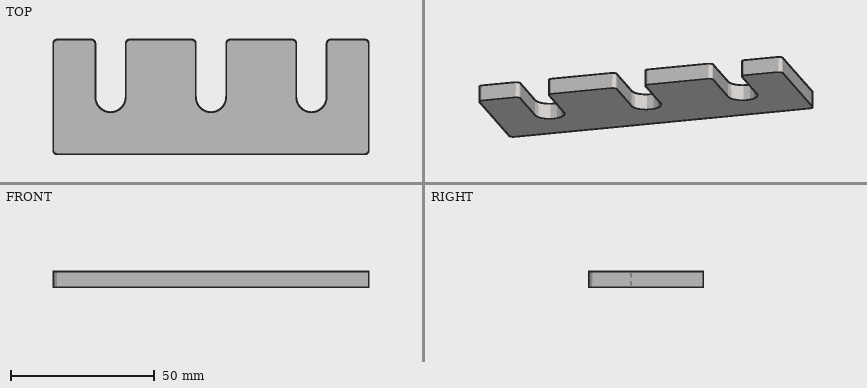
import cadquery as cq

length = 110.0
width = 40.0
thickness = 5.6
corner_radius = 1.5

slot_count = 3
slot_pitch = 35.0
slot_width = 10.5
slot_depth = 25.3


def slot_cutter(center_x):
    """Slot from the +Y edge, ending in a full half round."""
    radius = slot_width / 2
    edge_y = width / 2
    bottom_y = edge_y - slot_depth
    round_y = bottom_y + radius
    return (
        cq.Workplane("XY")
        .moveTo(center_x - radius, edge_y)
        .lineTo(center_x - radius, round_y)
        .threePointArc((center_x, bottom_y), (center_x + radius, round_y))
        .lineTo(center_x + radius, edge_y)
        .close()
        .extrude(thickness)
    )


plate = cq.Workplane("XY").box(length, width, thickness, centered=(True, True, False))

for index in range(slot_count):
    offset = index - (slot_count - 1) / 2
    plate = plate.cut(slot_cutter(offset * slot_pitch))

front_corners = plate.faces("<Y").edges("|Z")
back_corners = plate.faces(">Y").edges("|Z")
result = front_corners.add(back_corners).fillet(corner_radius)